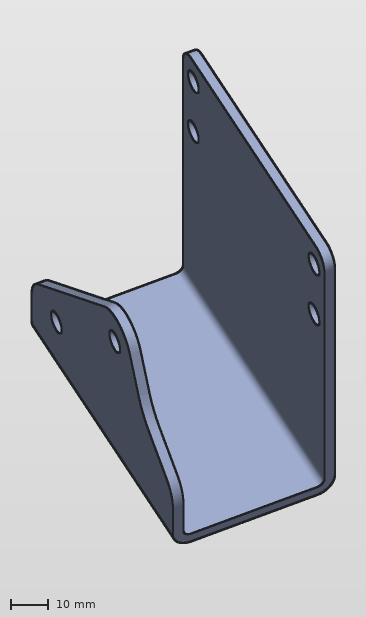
import cadquery as cq
import math

width = 85.0
depth = 48.2
height = 93.2
thickness = 3.2
inner_bend_radius = 2.2
outer_bend_radius = inner_bend_radius + thickness

hole_diameter = 6.4

back_corner_radius = 5.0
back_hole_spacing_x = 72.5
back_hole_heights = (65.1, 85.1)

front_holes = ((-27.5, 20.0), (7.55, 47.5))
tip_center = front_holes[1]
tip_radius = 10.0
shoulder_radius = 10.0
valley_radius = 21.0
left_shoulder = (-width / 2, 21.1)
right_shoulder = (width / 2, 21.1)
valley = (24.2, 35.2)


def tangent_angle(point, side):
    """Direction from a point along the line touching the tip arc on its left (+1) or right (-1)."""
    dx = tip_center[0] - point[0]
    dz = tip_center[1] - point[1]
    return math.atan2(dz, dx) + side * math.asin(tip_radius / math.hypot(dx, dz))


def sharp_tip():
    """Point where the two flanks of the front wall would meet without the tip arc."""
    left_slope = math.tan(tangent_angle(left_shoulder, 1))
    right_slope = math.tan(tangent_angle(valley, -1))
    rise = valley[1] - left_shoulder[1]
    x = (rise + left_slope * left_shoulder[0] - right_slope * valley[0]) / (left_slope - right_slope)
    return x, left_shoulder[1] + left_slope * (x - left_shoulder[0])


def round_corner(body, corner, radius):
    """Round the corner of an XZ outline along its Y edge."""
    x, z = corner
    edge = cq.selectors.BoxSelector((x - 0.1, -depth, z - 0.1), (x + 0.1, depth, z + 0.1))
    return body.edges("|Y").edges(edge).fillet(radius)


def channel():
    """Bent sheet with two full-height walls."""
    outer = cq.Workplane("XY").box(width, depth, height, centered=(True, True, False))
    outer = outer.edges("|X and <Z").fillet(outer_bend_radius)
    inner = cq.Workplane("XY").box(width, depth - 2 * thickness, height, centered=(True, True, False))
    inner = inner.edges("|X and <Z").fillet(inner_bend_radius)
    return outer.cut(inner.translate((0, 0, thickness)))


def back_outline():
    """Outline of the back wall, swept over the rear half of the depth."""
    plate = cq.Workplane("XY").box(width, depth / 2, height, centered=(True, False, False))
    return plate.edges("|Y and >Z").fillet(back_corner_radius)


def front_outline():
    """Triangular outline of the front wall, swept over the front half of the depth."""
    tip = sharp_tip()
    corners = [(-width / 2, 0), left_shoulder, tip, valley, right_shoulder, (width / 2, 0)]
    plate = cq.Workplane("XZ").polyline(corners).close().extrude(depth / 2)
    plate = round_corner(plate, left_shoulder, shoulder_radius)
    plate = round_corner(plate, tip, tip_radius)
    plate = round_corner(plate, valley, valley_radius)
    return round_corner(plate, right_shoulder, shoulder_radius)


def hole_pins(centers, direction):
    """Cylinders for holes from the middle of the part to the back (-1) or the front (+1)."""
    return cq.Workplane("XZ").pushPoints(centers).circle(hole_diameter / 2).extrude(direction * depth)


back_holes = [(side * back_hole_spacing_x / 2, z) for side in (-1, 1) for z in back_hole_heights]

result = channel().intersect(back_outline().union(front_outline()))
result = result.cut(hole_pins(back_holes, -1)).cut(hole_pins(front_holes, 1))